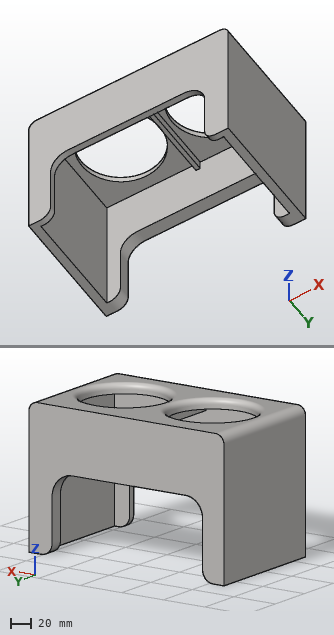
import cadquery as cq

LENGTH = 235.0
DEPTH = 141.0
HEIGHT = 154.0
TOP_EDGE_RADIUS = 10.0

END_WALL = 10.0
FRONT_WALL = 7.2
BACK_WALL = 14.5
TOP_PLATE = 10.5

LEFT_LEG = 26.0
RIGHT_LEG = 28.0
ARCH_HEIGHT = 85.5
LEFT_ARCH_RADIUS = 20.0
RIGHT_ARCH_RADIUS = 25.0
FOOT_RADIUS = 13.0

HOLE_DIAMETER = 92.0
HOLE_SPACING = 106.0
HOLE_PAIR_CENTER_X = 0.75
RIM_RADIUS = 6.0

RIB_THICKNESS = 5.0
RIB_HEIGHT = 9.5

BOTTOM_Z = -HEIGHT / 2
TOP_Z = HEIGHT / 2
CAVITY_LENGTH = LENGTH - 2 * END_WALL
CAVITY_DEPTH = DEPTH - FRONT_WALL - BACK_WALL
CAVITY_HEIGHT = HEIGHT - TOP_PLATE
CAVITY_CENTER_Y = (FRONT_WALL - BACK_WALL) / 2


def make_block():
    """Solid block with the top edges of both ends rounded."""
    block = cq.Workplane("XY").box(LENGTH, DEPTH, HEIGHT)
    return block.edges("|Y and >Z").fillet(TOP_EDGE_RADIUS)


def make_cavity():
    """Rectangular hollow below the top plate."""
    return (
        cq.Workplane("XY", origin=(0, CAVITY_CENTER_Y, BOTTOM_Z))
        .rect(CAVITY_LENGTH, CAVITY_DEPTH)
        .extrude(CAVITY_HEIGHT)
    )


def make_rib():
    """Cross rib hanging from the top plate and spanning front wall to back wall."""
    return (
        cq.Workplane("XY", origin=(0, CAVITY_CENTER_Y, TOP_Z - TOP_PLATE))
        .rect(RIB_THICKNESS, CAVITY_DEPTH)
        .extrude(-RIB_HEIGHT)
    )


def make_archway():
    """Archway with rounded upper corners, flaring outwards at the feet."""
    left_x = -LENGTH / 2 + LEFT_LEG
    right_x = LENGTH / 2 - RIGHT_LEG
    arch_z = BOTTOM_Z + ARCH_HEIGHT
    foot_z = BOTTOM_Z + FOOT_RADIUS
    profile = (
        cq.Workplane("XZ")
        .moveTo(left_x - FOOT_RADIUS, BOTTOM_Z)
        .radiusArc((left_x, foot_z), -FOOT_RADIUS)
        .lineTo(left_x, arch_z - LEFT_ARCH_RADIUS)
        .radiusArc((left_x + LEFT_ARCH_RADIUS, arch_z), LEFT_ARCH_RADIUS)
        .lineTo(right_x - RIGHT_ARCH_RADIUS, arch_z)
        .radiusArc((right_x, arch_z - RIGHT_ARCH_RADIUS), RIGHT_ARCH_RADIUS)
        .lineTo(right_x, foot_z)
        .radiusArc((right_x + FOOT_RADIUS, BOTTOM_Z), -FOOT_RADIUS)
        .close()
    )
    return profile.extrude(DEPTH / 2, both=True)


def make_bowl_opening(center_x):
    """Round opening through the top plate, widening along a quarter-round rim."""
    hole_radius = HOLE_DIAMETER / 2
    profile = (
        cq.Workplane("XZ", origin=(center_x, CAVITY_CENTER_Y, TOP_Z))
        .moveTo(0, -TOP_PLATE)
        .lineTo(hole_radius, -TOP_PLATE)
        .lineTo(hole_radius, -RIM_RADIUS)
        .radiusArc((hole_radius + RIM_RADIUS, 0), RIM_RADIUS)
        .lineTo(0, 0)
        .close()
    )
    return profile.revolve(360, (0, 0, 0), (0, 1, 0))


result = make_block().cut(make_cavity()).union(make_rib()).cut(make_archway())
for side in (-1, 1):
    result = result.cut(make_bowl_opening(HOLE_PAIR_CENTER_X + side * HOLE_SPACING / 2))